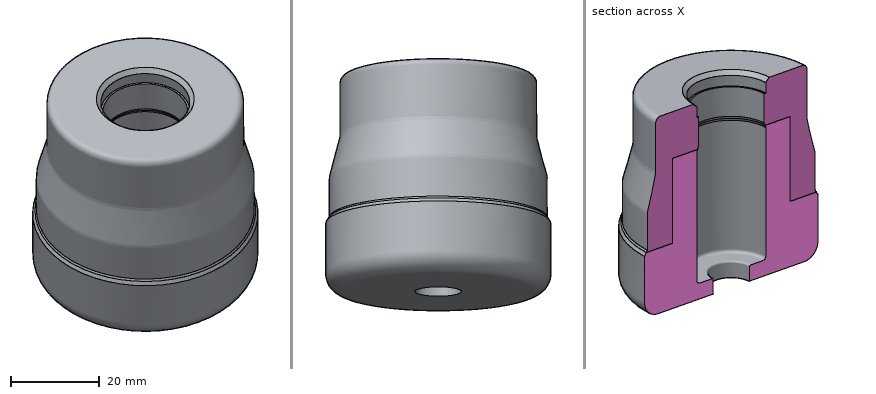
import cadquery as cq

total_height = 49.35
base_radius = 25.4

base_fillet = 4.0
base_shoulder_z = 15.65
shoulder_top_z = 16.9
waist_radius = 24.6
taper_bottom_z = 26.3
taper_top_z = 35.4
neck_radius = 22.2
taper_blend = 3.0
rim_fillet = 1.5

bore_radius = 10.0
mouth_chamfer = 1.0
land_radius = 9.55
land_top_z = 45.65
land_bottom_z = 38.3
land_relief_height = 1.2
floor_z = 4.05
floor_fillet = 0.8

hole_radius = 5.25
hole_fillet = 0.45

joint_z = 16.45
spigot_radius = 17.25
spigot_top_z = 37.7

EDGE_TOLERANCE = 0.05


def radius_on_cone(z, lower, upper):
    """Radius at height z on the cone through two (radius, z) points."""
    share = (z - lower[1]) / (upper[1] - lower[1])
    return lower[0] + share * (upper[0] - lower[0])


def revolve_outline(points):
    """Solid of revolution about Z from a closed (radius, z) outline."""
    return cq.Workplane("XZ").polyline(points).close().revolve(360, (0, 0, 0), (0, 1, 0))


def round_edge(body, radius, z, fillet):
    """Fillet the circular edge of the given radius at height z."""
    reach = radius + EDGE_TOLERANCE
    region = cq.selectors.BoxSelector(
        (-reach, -reach, z - EDGE_TOLERANCE),
        (reach, reach, z + EDGE_TOLERANCE),
        boundingbox=True,
    )
    largest = cq.selectors.RadiusNthSelector(-1)
    return body.edges(region).edges(largest).fillet(fillet)


shoulder_bottom = (base_radius, base_shoulder_z)
shoulder_top = (waist_radius, shoulder_top_z)
outer_seam = (radius_on_cone(joint_z, shoulder_bottom, shoulder_top), joint_z)

relief_bottom = (bore_radius, land_bottom_z - land_relief_height)
relief_top = (land_radius, land_bottom_z)
inner_seam = (radius_on_cone(spigot_top_z, relief_bottom, relief_top), spigot_top_z)


def make_base():
    """Round base with a tubular spigot, a blind bore and a hole in its floor."""
    body = revolve_outline([
        (hole_radius, 0),
        (base_radius, 0),
        shoulder_bottom,
        outer_seam,
        (spigot_radius, joint_z),
        (spigot_radius, spigot_top_z),
        inner_seam,
        relief_bottom,
        (bore_radius, floor_z),
        (hole_radius, floor_z),
    ])
    body = round_edge(body, base_radius, 0, base_fillet)
    body = round_edge(body, bore_radius, floor_z, floor_fillet)
    return round_edge(body, hole_radius, floor_z, hole_fillet)


def make_sleeve():
    """Tapered sleeve that sits over the spigot and carries the bore mouth."""
    body = revolve_outline([
        outer_seam,
        shoulder_top,
        (waist_radius, taper_bottom_z),
        (neck_radius, taper_top_z),
        (neck_radius, total_height),
        (bore_radius + mouth_chamfer, total_height),
        (bore_radius, total_height - mouth_chamfer),
        (bore_radius, land_top_z),
        (land_radius, land_top_z),
        relief_top,
        inner_seam,
        (spigot_radius, spigot_top_z),
        (spigot_radius, joint_z),
    ])
    body = round_edge(body, waist_radius, taper_bottom_z, taper_blend)
    body = round_edge(body, neck_radius, taper_top_z, taper_blend)
    return round_edge(body, neck_radius, total_height, rim_fillet)


base = make_base()
sleeve = make_sleeve()

result = cq.Compound.makeCompound([base.val(), sleeve.val()])